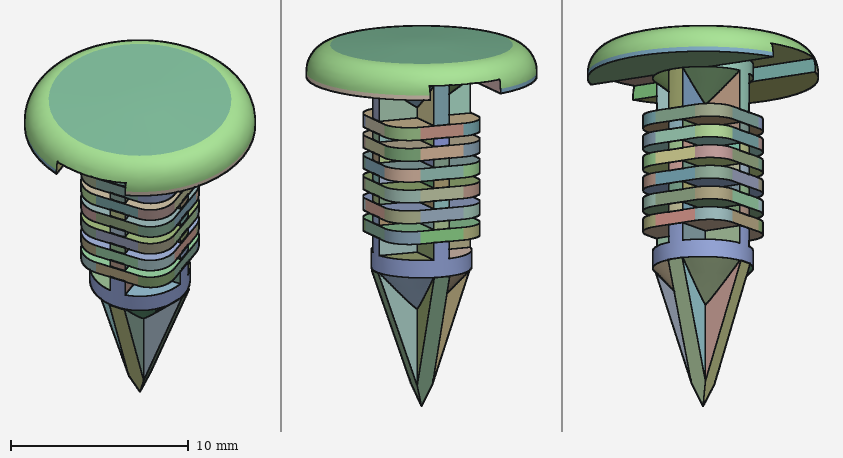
import cadquery as cq

total_height = 21.0
head_thickness = 2.0
collar_bottom = 8.0
collar_height = 1.0
head_bottom = total_height - head_thickness
collar_top = collar_bottom + collar_height

head_radius = 13.0 / 2
crown_radius = 5.15
crown_rise = 0.19
rim_height = 0.27

notch_width = 4.33
notch_depth = 0.8

stem_radius = 2.84
web_thickness = 0.95

ring_width = 5.73
ring_corner_radius = 1.53
ring_height = 0.74
ring_pitch = 1.2
ring_count = 6
ring_gap_above_collar = 1.0

head_cone_height = 2.18
collar_cone_height = 2.98

spike_width = ring_width


def crossed_webs(width, bottom, top):
    """Two plates crossing at right angles on the Z axis."""
    height = top - bottom
    along_x = cq.Workplane("XY", origin=(0, 0, bottom)).rect(width, web_thickness).extrude(height)
    along_y = cq.Workplane("XY", origin=(0, 0, bottom)).rect(web_thickness, width).extrude(height)
    return along_x.union(along_y)


def stem_cylinder(bottom, top):
    return cq.Workplane("XY", origin=(0, 0, bottom)).circle(stem_radius).extrude(top - bottom)


def hanging_cone(base_level, height):
    """Cone with its stem-wide base at base_level and its apex pointing down."""
    return (
        cq.Workplane("XZ")
        .moveTo(0, base_level)
        .lineTo(stem_radius, base_level)
        .lineTo(0, base_level - height)
        .close()
        .revolve(360, (0, 0), (0, 1))
    )


def head():
    disc = (
        cq.Workplane("XZ")
        .moveTo(0, head_bottom)
        .lineTo(head_radius, head_bottom)
        .lineTo(head_radius, head_bottom + rim_height)
        .tangentArcPoint((crown_radius, total_height - crown_rise), relative=False)
        .lineTo(0, total_height)
        .close()
        .revolve(360, (0, 0), (0, 1))
    )
    notch_top = head_bottom + notch_depth
    notches = (
        cq.Workplane("XY", origin=(0, 0, head_bottom))
        .rect(notch_width, 2 * head_radius)
        .extrude(notch_depth)
        .cut(stem_cylinder(head_bottom, notch_top))
    )
    return disc.cut(notches)


def stem():
    webs = crossed_webs(2 * stem_radius, collar_bottom, head_bottom)
    collar = stem_cylinder(collar_bottom, collar_top)
    return webs.intersect(stem_cylinder(collar_bottom, head_bottom)).union(collar)


def ring(bottom):
    return (
        cq.Workplane("XY", origin=(0, 0, bottom))
        .rect(ring_width, ring_width)
        .extrude(ring_height)
        .edges("|Z")
        .fillet(ring_corner_radius)
    )


def spike():
    """Crossed webs trimmed to a square pyramid that stands on its apex."""
    half_width = spike_width / 2
    triangle = [(-half_width, collar_bottom), (half_width, collar_bottom), (0, 0)]
    taper_x = cq.Workplane("XZ").polyline(triangle).close().extrude(half_width, both=True)
    taper_y = cq.Workplane("YZ").polyline(triangle).close().extrude(half_width, both=True)
    webs = crossed_webs(spike_width, 0, collar_bottom)
    return webs.intersect(taper_x).intersect(taper_y)


result = head().union(stem())
result = result.union(hanging_cone(head_bottom, head_cone_height))
result = result.union(spike())
result = result.union(hanging_cone(collar_bottom, collar_cone_height))

first_ring_bottom = collar_top + ring_gap_above_collar
for index in range(ring_count):
    result = result.union(ring(first_ring_bottom + index * ring_pitch))